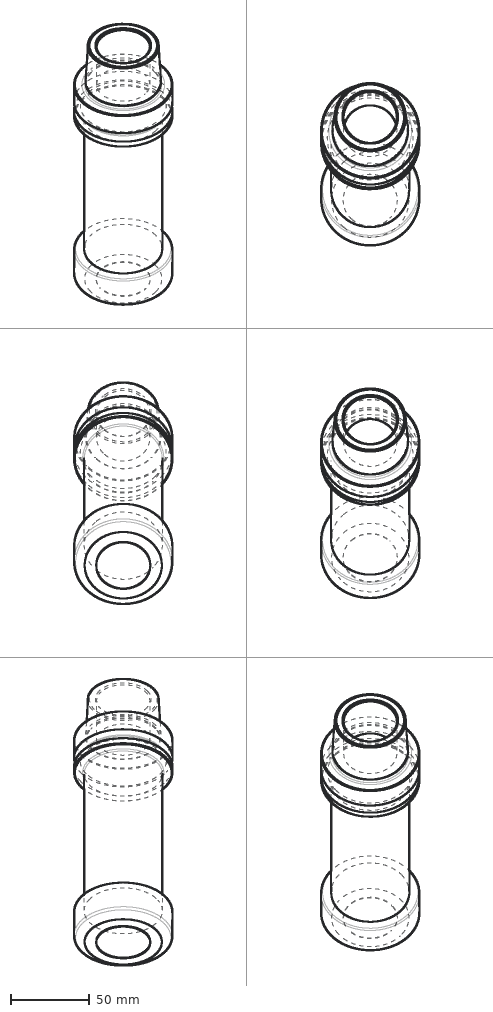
import cadquery as cq


SHANK_LENGTH = 32.03
TAPER_END_Z = 2.4
TAPER_END_RADIUS = 24.2
TAPER_TIP_RADIUS = 22.75
TIP_CHAMFER_RADIAL = 1.1
TIP_CHAMFER_AXIAL = 0.4
BORE_RADIUS = 17.0
BORE_DEPTH = 32.0
BORE_CHAMFER_RADIAL = 0.8
BORE_CHAMFER_AXIAL = 1.0

RELIEF_NECK_RADIUS = 23.5
RELIEF_FACE_RADIUS = 26.5
RELIEF_DEPTH = 0.4
RELIEF_LEAD = 1.0
RELIEF_FILLET = 1.0

FLANGE_RADIUS = 31.5
FLANGE_HEIGHT = 26.0
FLANGE_CHAMFER = 0.5
GROOVE_CENTER_Z = -18.0
GROOVE_MOUTH_WIDTH = 7.0
GROOVE_FLOOR_WIDTH = 3.0
GROOVE_FLOOR_RADIUS = 27.5
GROOVE_FILLET = 0.7
GROOVE_FLOOR_TOP_Z = GROOVE_CENTER_Z + GROOVE_FLOOR_WIDTH / 2
GROOVE_FLOOR_BOTTOM_Z = GROOVE_CENTER_Z - GROOVE_FLOOR_WIDTH / 2

BODY_RADIUS = 25.0
BODY_FILLET = 1.0
PART_BOTTOM_Z = -160.0
NUT_TOP_Z = -135.0
NUT_TOP_FILLET = 1.0
NUT_RADIUS = 31.5
NUT_CONE_TOP_Z = -155.7
NUT_CONE_FILLET = 2.0
NUT_FACE_RADIUS = 24.7
COLLET_RADIUS = 17.3
COLLET_PROTRUSION = 0.5


EDGE_TOLERANCE = 1e-3


def outer_profile():
    """Half section (radius, height) of the solid of revolution, from the tip down."""
    taper_top_z = SHANK_LENGTH - TIP_CHAMFER_AXIAL
    groove_top_z = GROOVE_CENTER_Z + GROOVE_MOUTH_WIDTH / 2
    groove_bottom_z = GROOVE_CENTER_Z - GROOVE_MOUTH_WIDTH / 2
    nut_face_z = PART_BOTTOM_Z + COLLET_PROTRUSION
    shank = [
        (0, SHANK_LENGTH),
        (TAPER_TIP_RADIUS - TIP_CHAMFER_RADIAL, SHANK_LENGTH),
        (TAPER_TIP_RADIUS, taper_top_z),
        (TAPER_END_RADIUS, TAPER_END_Z),
        (RELIEF_NECK_RADIUS, TAPER_END_Z - RELIEF_LEAD),
        (RELIEF_NECK_RADIUS, -RELIEF_DEPTH),
        (RELIEF_FACE_RADIUS, 0),
    ]
    flange = [
        (FLANGE_RADIUS - FLANGE_CHAMFER, 0),
        (FLANGE_RADIUS, -FLANGE_CHAMFER),
        (FLANGE_RADIUS, groove_top_z),
        (GROOVE_FLOOR_RADIUS, GROOVE_FLOOR_TOP_Z),
        (GROOVE_FLOOR_RADIUS, GROOVE_FLOOR_BOTTOM_Z),
        (FLANGE_RADIUS, groove_bottom_z),
        (FLANGE_RADIUS, FLANGE_CHAMFER - FLANGE_HEIGHT),
        (FLANGE_RADIUS - FLANGE_CHAMFER, -FLANGE_HEIGHT),
        (BODY_RADIUS, -FLANGE_HEIGHT),
    ]
    nut = [
        (BODY_RADIUS, NUT_TOP_Z),
        (NUT_RADIUS, NUT_TOP_Z),
        (NUT_RADIUS, NUT_CONE_TOP_Z),
        (NUT_FACE_RADIUS, nut_face_z),
        (COLLET_RADIUS, nut_face_z),
        (COLLET_RADIUS, PART_BOTTOM_Z),
        (0, PART_BOTTOM_Z),
    ]
    return shank + flange + nut


def make_body():
    section = cq.Workplane("XZ").polyline(outer_profile()).close()
    return section.revolve(360, (0, 0, 0), (0, 1, 0))


def round_edge(body, radius, height, fillet):
    """Fillet the circular edge of the given radius at the given height."""
    def is_wanted(edge):
        return (abs(edge.radius() - radius) < EDGE_TOLERANCE
                and abs(edge.Center().z - height) < EDGE_TOLERANCE)

    return body.newObject(body.edges("%CIRCLE").filter(is_wanted).vals()).fillet(fillet)


def round_edges(body):
    rounded_edges = [
        (RELIEF_NECK_RADIUS, -RELIEF_DEPTH, RELIEF_FILLET),
        (GROOVE_FLOOR_RADIUS, GROOVE_FLOOR_TOP_Z, GROOVE_FILLET),
        (GROOVE_FLOOR_RADIUS, GROOVE_FLOOR_BOTTOM_Z, GROOVE_FILLET),
        (BODY_RADIUS, -FLANGE_HEIGHT, BODY_FILLET),
        (NUT_RADIUS, NUT_TOP_Z, NUT_TOP_FILLET),
        (NUT_RADIUS, NUT_CONE_TOP_Z, NUT_CONE_FILLET),
    ]
    for radius, height, fillet in rounded_edges:
        body = round_edge(body, radius, height, fillet)
    return body


def make_bore():
    """Blind bore in the shank with a chamfered mouth."""
    floor_z = SHANK_LENGTH - BORE_DEPTH
    section = cq.Workplane("XZ").polyline([
        (0, floor_z),
        (BORE_RADIUS, floor_z),
        (BORE_RADIUS, SHANK_LENGTH - BORE_CHAMFER_AXIAL),
        (BORE_RADIUS + BORE_CHAMFER_RADIAL, SHANK_LENGTH),
        (0, SHANK_LENGTH),
    ]).close()
    return section.revolve(360, (0, 0, 0), (0, 1, 0))


result = round_edges(make_body()).cut(make_bore())